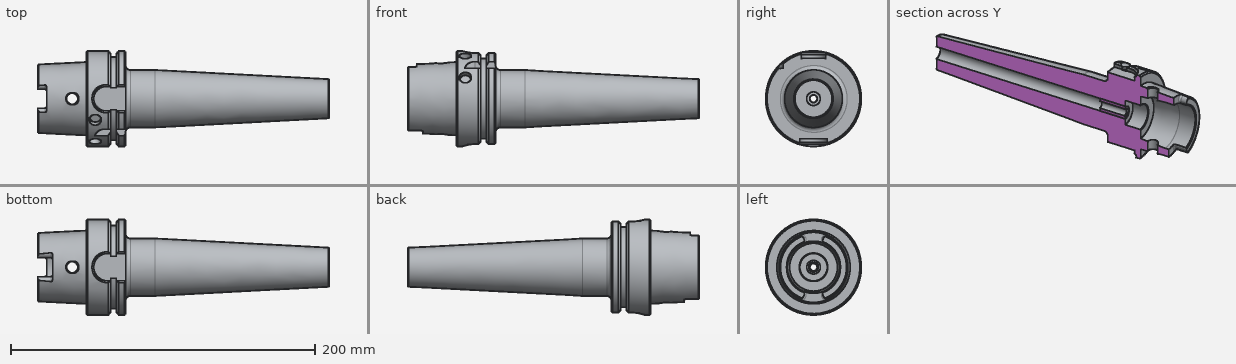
import cadquery as cq
import math

overrun = 2.0

shank_length = 31.95
shank_root_radius = 24.2
shank_taper = 0.05
shank_end_chamfer = 0.9
shank_end_x = -shank_length
shank_end_radius = shank_root_radius - shank_taper * shank_length

flange_radius = 31.5
flange_length = 26.0
flange_chamfer = 1.0
groove_centre_x = 18.0
groove_top_width = 7.0
groove_floor_width = 3.4
groove_floor_radius = 27.5
groove_bevel_height = 2.1

nose_end_x = 160.0
nose_radius = 19.0
nose_cylinder_end_x = 45.0
nose_taper_angle = 3.0
nose_taper_length = nose_end_x - nose_cylinder_end_x
nose_tip_radius = nose_radius - nose_taper_length * math.tan(math.radians(nose_taper_angle))
nose_root_fillet = 3.0
nose_tip_chamfer = 0.8

mouth_radius = 17.2
mouth_depth = 13.0
mouth_chamfer = 0.6
bore_floor_x = 0.0
bore_floor_radius = 15.7
tube_bore_radius = 9.0
tube_bore_depth = 12.0
tube_bore_chamfer = 0.4
screw_radius = 4.5
screw_length = 20.0
screw_hole_radius = 2.4
screw_hole_chamfer = 0.8
screw_start_x = bore_floor_x + tube_bore_depth

drive_slots = [(1, 6.0), (-1, 10.0)]
drive_slot_width = 12.3
drive_slot_corner_radius = 1.2
drive_slot_flare_radius = 3.3
drive_slot_flare_start = 17.7

cross_hole_x = -9.2
cross_hole_radius = 3.7
cross_hole_chamfer = 0.7

keyways = [(1, 16.0), (-1, 18.0)]
keyway_floor = 26.5
keyway_start_x = 5.0
keyway_chamfer = 1.2

notch_offset = 20.0
notch_corner_radius = 7.0
notch_corner_x = 12.1

blind_hole_x = 6.0
blind_hole_radius = 3.9
blind_hole_floor = 26.6
notch_angle = 45.0
blind_hole_spread = 18.6


def revolve_about_x(points):
    """Revolve a closed (x, radius) outline about the X axis."""
    return cq.Workplane("XY").polyline(points).close().revolve(360, (0, 0, 0), (1, 0, 0))


def holder_blank():
    groove_top_start = groove_centre_x - groove_top_width / 2
    groove_top_end = groove_centre_x + groove_top_width / 2
    groove_floor_start = groove_centre_x - groove_floor_width / 2
    groove_floor_end = groove_centre_x + groove_floor_width / 2
    bevel_radius = flange_radius - groove_bevel_height
    rim_radius = flange_radius - flange_chamfer
    fillet_swing = nose_root_fillet * (1 - math.sqrt(0.5))
    outline = (
        cq.Workplane("XY")
        .moveTo(shank_end_x, 0)
        .lineTo(shank_end_x, shank_end_radius - shank_end_chamfer)
        .lineTo(shank_end_x + shank_end_chamfer, shank_end_radius + shank_taper * shank_end_chamfer)
        .lineTo(0, shank_root_radius)
        .lineTo(0, rim_radius)
        .lineTo(flange_chamfer, flange_radius)
        .lineTo(groove_top_start, flange_radius)
        .lineTo(groove_floor_start, bevel_radius)
        .lineTo(groove_floor_start, groove_floor_radius)
        .lineTo(groove_floor_end, groove_floor_radius)
        .lineTo(groove_floor_end, bevel_radius)
        .lineTo(groove_top_end, flange_radius)
        .lineTo(flange_length - flange_chamfer, flange_radius)
        .lineTo(flange_length, rim_radius)
        .lineTo(flange_length, nose_radius + nose_root_fillet)
        .threePointArc(
            (flange_length + fillet_swing, nose_radius + fillet_swing),
            (flange_length + nose_root_fillet, nose_radius),
        )
        .lineTo(nose_cylinder_end_x, nose_radius)
        .lineTo(nose_end_x - nose_tip_chamfer, nose_tip_radius)
        .lineTo(nose_end_x, nose_tip_radius - nose_tip_chamfer)
        .lineTo(nose_end_x, 0)
        .close()
    )
    return outline.revolve(360, (0, 0, 0), (1, 0, 0))


def axial_bores():
    return revolve_about_x([
        (shank_end_x, 0),
        (shank_end_x, mouth_radius + mouth_chamfer),
        (shank_end_x + mouth_chamfer, mouth_radius),
        (shank_end_x + mouth_depth, mouth_radius),
        (bore_floor_x, bore_floor_radius),
        (bore_floor_x, tube_bore_radius + tube_bore_chamfer),
        (bore_floor_x + tube_bore_chamfer, tube_bore_radius),
        (screw_start_x, tube_bore_radius),
        (screw_start_x, screw_radius),
        (nose_end_x, screw_radius),
        (nose_end_x, 0),
    ])


def drive_slot(direction, length):
    """Open-ended slot with walls that flare outwards and rounded inner corners."""
    half_width = drive_slot_width / 2
    flare = drive_slot_flare_radius
    swing = flare * (1 - math.sqrt(0.5))
    rise = flare * math.sqrt(0.5)
    flare_top = drive_slot_flare_start + flare
    outside = shank_root_radius + overrun
    profile = (
        cq.Workplane("YZ", origin=(shank_end_x, 0, 0))
        .moveTo(-half_width, 0)
        .lineTo(half_width, 0)
        .lineTo(half_width, drive_slot_flare_start)
        .threePointArc(
            (half_width + swing, drive_slot_flare_start + rise),
            (half_width + flare, flare_top),
        )
        .lineTo(outside, flare_top)
        .lineTo(outside, outside)
        .lineTo(-outside, outside)
        .lineTo(-outside, flare_top)
        .lineTo(-half_width - flare, flare_top)
        .threePointArc(
            (-half_width - swing, drive_slot_flare_start + rise),
            (-half_width, drive_slot_flare_start),
        )
        .close()
    )
    slot = profile.extrude(length).faces(">X").edges().fillet(drive_slot_corner_radius)
    return slot if direction > 0 else slot.mirror("XY")


def cross_hole():
    """Hole along Z through both shank walls, countersunk at each outer surface."""
    surface = shank_root_radius + shank_taper * cross_hole_x
    rim = cross_hole_radius + cross_hole_chamfer
    outside = surface + cross_hole_chamfer
    profile = cq.Workplane("XZ").polyline([
        (0, -outside),
        (rim, -outside),
        (rim, -surface),
        (cross_hole_radius, -surface + cross_hole_chamfer),
        (cross_hole_radius, surface - cross_hole_chamfer),
        (rim, surface),
        (rim, outside),
        (0, outside),
    ]).close()
    return profile.revolve(360, (0, 0, 0), (0, 1, 0)).translate((cross_hole_x, 0, 0))


def keyway_block(start_x, half_width, floor, height, draft=0):
    """Prism with a round front end, open through the back of the flange.

    The sides spread outwards by the draft angle as they rise.
    """
    centre_x = start_x + half_width
    return (
        cq.Workplane("XY", origin=(0, 0, floor))
        .moveTo(flange_length, -half_width)
        .lineTo(centre_x, -half_width)
        .threePointArc((start_x, 0), (centre_x, half_width))
        .lineTo(flange_length, half_width)
        .close()
        .extrude(height, taper=-draft)
    )


def keyway(direction, width):
    """Flat-floored keyway whose upper edge is bevelled where it meets the flange rim."""
    half_width = width / 2
    rim_half_width = half_width + keyway_chamfer
    rim_height = math.sqrt(flange_radius ** 2 - rim_half_width ** 2)
    bevel_floor = rim_height - keyway_chamfer
    rim_start_x = keyway_start_x - keyway_chamfer
    top = flange_radius + overrun
    slot = keyway_block(keyway_start_x, half_width, keyway_floor, bevel_floor - keyway_floor)
    bevel = keyway_block(keyway_start_x, half_width, bevel_floor, keyway_chamfer, draft=45)
    opening = keyway_block(rim_start_x, rim_half_width, rim_height, top - rim_height)
    slot = slot.union(bevel).union(opening)
    return slot if direction > 0 else slot.mirror("XY")


def orientation_notch():
    """Square-cornered notch at 45 degrees with a rounded front end."""
    centre_y = -notch_offset - notch_corner_radius
    start_x = notch_corner_x - notch_corner_radius
    swing = notch_corner_radius * math.sqrt(0.5)
    return (
        cq.Workplane("XY", origin=(0, 0, notch_offset))
        .moveTo(flange_length, -notch_offset)
        .lineTo(notch_corner_x, -notch_offset)
        .threePointArc((notch_corner_x - swing, centre_y + swing), (start_x, centre_y))
        .lineTo(start_x, -flange_radius)
        .lineTo(flange_length, -flange_radius)
        .close()
        .extrude(flange_radius)
    )


def blind_hole(angle):
    direction = cq.Vector(0, -math.cos(math.radians(angle)), math.sin(math.radians(angle)))
    floor_centre = cq.Vector(blind_hole_x, 0, 0) + direction * blind_hole_floor
    depth = flange_radius + overrun - blind_hole_floor
    return cq.Workplane(cq.Solid.makeCylinder(blind_hole_radius, depth, floor_centre, direction))


def make_holder():
    body = holder_blank().cut(axial_bores()).cut(cross_hole()).cut(orientation_notch())
    for direction, length in drive_slots:
        body = body.cut(drive_slot(direction, length))
    for direction, width in keyways:
        body = body.cut(keyway(direction, width))
    for side in (-1, 1):
        body = body.cut(blind_hole(notch_angle + side * blind_hole_spread))
    return body


def make_screw():
    """Hollow stop screw that fills the start of the narrow bore."""
    return revolve_about_x([
        (screw_start_x, screw_hole_radius + screw_hole_chamfer),
        (screw_start_x, screw_radius),
        (screw_start_x + screw_length, screw_radius),
        (screw_start_x + screw_length, screw_hole_radius),
        (screw_start_x + screw_hole_chamfer, screw_hole_radius),
    ])


holder = make_holder()
stop_screw = make_screw()

result = cq.Compound.makeCompound([holder.val(), stop_screw.val()])